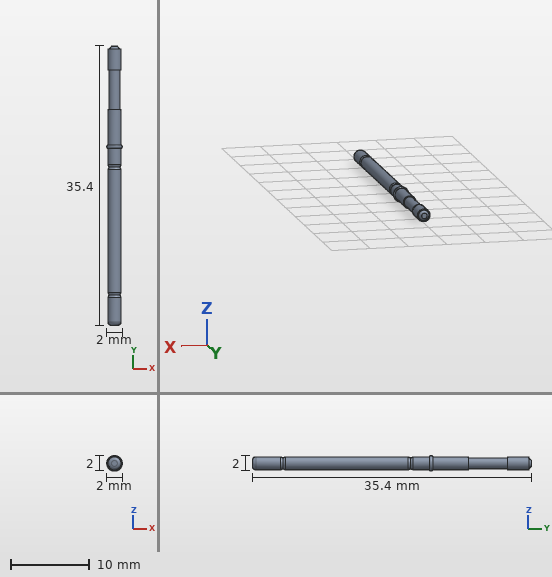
import cadquery as cq

length = 35.4
body_radius = 1.65 / 2
neck_radius = 0.7
tip_end_radius = 0.35
tip_base_radius = 0.67

tip_length = 0.35
head_length = 3.05
neck_end = 8.05
ring_center = 12.75
rear_groove_center = 15.33
front_groove_center = 31.5

ring_radius = 1.0
ring_width = 0.5
groove_width = 0.65
groove_depth = 0.125
nose_round = 0.45


def rod(start, end, radius):
    """Round rod between two distances from the tip."""
    plane = cq.Plane(origin=(0, length / 2 - start, 0), xDir=(1, 0, 0), normal=(0, -1, 0))
    return cq.Workplane(plane).circle(radius).extrude(end - start)


def make_head():
    """Contact head with a conical tip inside a narrow shoulder."""
    y_tip = length / 2
    half_section = cq.Workplane("XY").polyline([
        (0, y_tip),
        (tip_end_radius, y_tip),
        (tip_base_radius, y_tip - tip_length),
        (body_radius, y_tip - tip_length),
        (body_radius, y_tip - head_length),
        (0, y_tip - head_length),
    ])
    return half_section.close().revolve(360, (0, 0, 0), (0, 1, 0))


def make_body():
    """Barrel with a rounded nose at the -Y end."""
    return rod(neck_end, length, body_radius).faces("<Y").edges().fillet(nose_round)


def make_ring():
    """Raised ring whose crest is a half round as wide as the ring."""
    y = length / 2 - ring_center
    half_width = ring_width / 2
    crest_start = ring_radius - half_width
    half_section = (
        cq.Workplane("XY")
        .moveTo(0, y - half_width)
        .lineTo(crest_start, y - half_width)
        .threePointArc((ring_radius, y), (crest_start, y + half_width))
        .lineTo(0, y + half_width)
        .close()
    )
    return half_section.revolve(360, (0, 0, 0), (0, 1, 0))


def groove_cutter(center):
    """V-section ring that crimps the barrel."""
    y = length / 2 - center
    section = cq.Workplane("XY").polyline([
        (body_radius, y - groove_width / 2),
        (body_radius - groove_depth, y),
        (body_radius, y + groove_width / 2),
    ])
    return section.close().revolve(360, (0, 0, 0), (0, 1, 0))


result = make_body().union(rod(head_length, neck_end, neck_radius)).union(make_head())
result = result.union(make_ring())
for groove_center in (rear_groove_center, front_groove_center):
    result = result.cut(groove_cutter(groove_center))